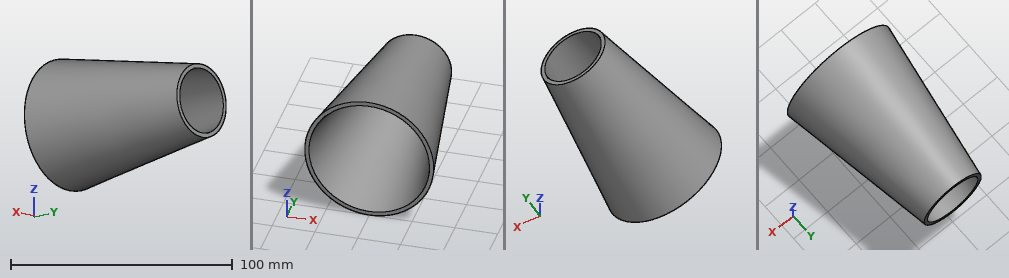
import cadquery as cq

length = 80.0
wide_diameter = 60.3
narrow_diameter = 33.7
wall = 2.0

wide_outer_radius = wide_diameter / 2
narrow_outer_radius = narrow_diameter / 2
wide_inner_radius = wide_outer_radius - wall
narrow_inner_radius = narrow_outer_radius - wall

wall_section = (
    cq.Workplane("XY")
    .moveTo(wide_inner_radius, 0)
    .lineTo(wide_outer_radius, 0)
    .lineTo(narrow_outer_radius, length)
    .lineTo(narrow_inner_radius, length)
    .close()
)

result = wall_section.revolve(360, (0, 0, 0), (0, 1, 0))